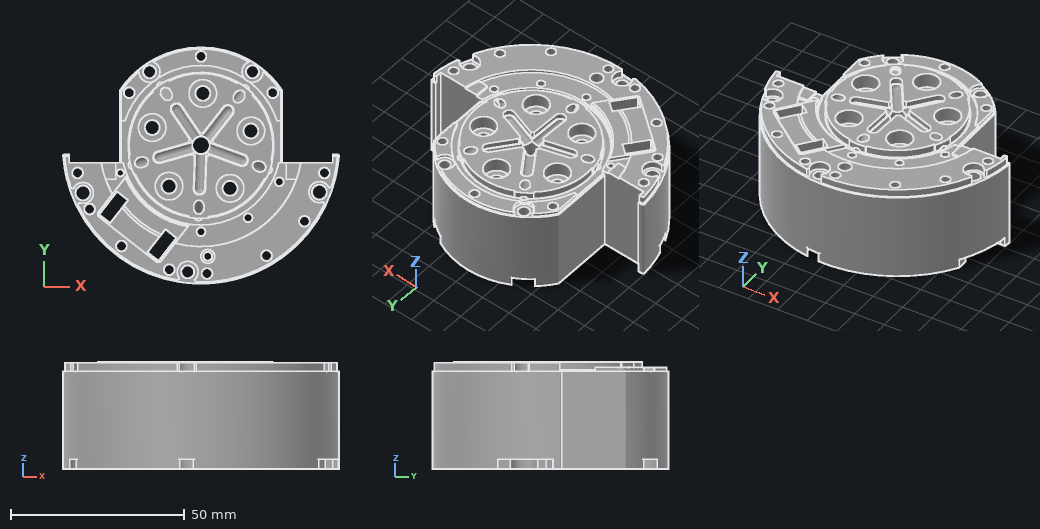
import cadquery as cq
import math

SHOULDER_Z = 28.2
CHANNEL_Z = 28.7
REAR_RIM_Z = 29.4
ANNULUS_Z = 29.65
TAB_Z = 30.2
PLATE_Z = 30.8
TOP_Z = 31.0

WIDTH = 79.7
REAR_R = 28.3
FLAT_X = 23.4
SHELF_Y = -5.0
HORN_Y = -2.6
HORN_INNER_X = 38.0
CORNER_R = 0.5
FRONT_R = math.hypot(WIDTH / 2, HORN_Y - CORNER_R)
RIM_INSET = 0.5

CHANNEL_R = 23.0
ANNULUS_R = 29.25
RIM_END_Y = 7.0
TAB_INNER_X = 24.55
TAB_END_Y = -9.8

HUB_R = 20.7
HUB_GAP_WIDTH = 0.3
HUB_GAP_DEPTH = 0.5
LOBE_R = 21.1
LOBE_WIDTH = 5.6
CENTRE_HOLE_D = 5.0
HUB_HOLE_COUNT = 5
HUB_PITCH = 360 / HUB_HOLE_COUNT
HUB_HOLE_R = 15.0
HUB_HOLE_START = 16
HUB_HOLE_D = 4.2
HUB_BORE_D = 8
HUB_BORE_DEPTH = 4.8
SPOKE_START = HUB_HOLE_START + HUB_PITCH / 2
SPOKE_END_R = 14.35
SPOKE_WIDTH = 3.5
SPOKE_WALL = 2.0
TROUGH_D = 3.0
HUB_RECESS_D = 7.3
PORT_R = 17.85
PORT_D = 3.0
PORT_TILT = 40
PORT_LENGTH = 4.8

FRONT_BOLT_R = 36.75
REAR_BOLT_R = 25.9
FRONT_RIM_R = FRONT_R - RIM_INSET
REAR_RIM_R = REAR_R - RIM_INSET
MOUNT_BOLTS = [
    (FRONT_BOLT_R, 202, 4.2, 8, FRONT_RIM_R),
    (FRONT_BOLT_R, 264, 3.7, 7.5, FRONT_RIM_R),
    (FRONT_BOLT_R, 338.4, 4.2, 8, FRONT_RIM_R),
    (REAR_BOLT_R, 55, 3.7, 8, REAR_RIM_R),
    (REAR_BOLT_R, 125, 3.7, 8, REAR_RIM_R),
]
UPPER_SEAT_D = 6.05
LOWER_SEAT_DEPTH = 2.9
NECK_WIDTH = 4.15
MOUTH_WIDTH = 5.6
FLARE_LENGTH = 0.7

COVER_HOLE_D = 3.0
COVER_HOLE_R = 37.1
COVER_HOLE_ANGLES = [209.8, 231.7, 255.7, 272.7, 300.7, 323.7]
END_HOLE_X = 35.6
END_HOLE_Y = -8
REAR_HOLE_R = 25.7
REAR_HOLE_ANGLES = [36.2, 90, 143.8]
RING_HOLE_D = 2.5
RING_HOLE_R = 24.95
RING_HOLE_ANGLES = [270, 303, 335]
PIN_HOLE_D = 2.0
PIN_HOLE_POINT = (-23.3, -8)
SCREW_R = 32.1
SCREW_ANGLE = 273.5
SCREW_D = 2.5
SCREW_SEAT_D = 4
SCREW_SEAT_DEPTH = 4.8

PAD_ANGLE = 232
PAD_OUTER = 34.4
PAD_WIDTH = 22.95
PAD_CORNER_R = 0.95
PAD_INNER_R = 23.3
PAD_BEVEL = 0.5
WINDOW_LENGTH = 8.4
WINDOW_WIDTH = 4
WINDOW_R = 29.65
WINDOW_OFFSET = 8.85
PAD_GROOVE_INNER_R = 28.2
PAD_GROOVE_WIDTH = 0.8
PAD_GROOVE_DEPTH = 0.1

UNDERCUT_INNER_X = 34.0
UNDERCUT_CORNER_X = 35.9
UNDERCUT_BEVEL_Y = -7.1
UNDERCUT_REAR_Y = -5.2
UNDERCUT_FRONT_Y = -23.9


def polar(radius, angle):
    turn = math.radians(angle)
    return radius * math.cos(turn), radius * math.sin(turn)


def disc(radius, bottom, top, point=(0, 0)):
    return cq.Workplane("XY", origin=(*point, bottom)).circle(radius).extrude(top - bottom)


def block(x_range, y_range, z_range):
    spans = [high - low for low, high in (x_range, y_range, z_range)]
    return cq.Workplane("XY").box(*spans, centered=False).translate((x_range[0], y_range[0], z_range[0]))


def turned(shape, angle):
    return shape.rotate((0, 0, 0), (0, 0, 1), angle)


def rear_prism(inset, top):
    """Rear disc with its two flats, from the base up."""
    half_width = FLAT_X - inset
    slab = block((-half_width, half_width), (SHELF_Y - CHANNEL_R, REAR_R), (0, top))
    prism = disc(REAR_R - inset, 0, top).intersect(slab)
    corner_y = math.sqrt((REAR_R - inset) ** 2 - half_width**2)
    corner_zone = cq.selectors.BoxSelector((-REAR_R, corner_y - 0.8, 0), (REAR_R, corner_y + 0.8, top))
    return prism.edges("|Z").edges(corner_zone).fillet(CORNER_R)


def front_prism(inset, top):
    """Front half disc with a small horn at each end, from the base up."""
    radius = FRONT_R - inset
    horn_y = HORN_Y - inset
    horn_x = math.sqrt(radius**2 - horn_y**2)
    return (
        cq.Workplane("XY")
        .moveTo(-horn_x, horn_y)
        .threePointArc((0, -radius), (horn_x, horn_y))
        .lineTo(HORN_INNER_X, horn_y)
        .lineTo(HORN_INNER_X, SHELF_Y)
        .lineTo(-HORN_INNER_X, SHELF_Y)
        .lineTo(-HORN_INNER_X, horn_y)
        .close()
        .extrude(top)
        .edges("|Z and >Y and (<X or >X)")
        .fillet(CORNER_R)
    )


def housing():
    body = front_prism(0, SHOULDER_Z).union(rear_prism(0, SHOULDER_Z))

    body = body.union(rear_prism(RIM_INSET, CHANNEL_Z)).union(disc(CHANNEL_R, 0, CHANNEL_Z))

    body = body.cut(disc(HUB_R + HUB_GAP_WIDTH, CHANNEL_Z - HUB_GAP_DEPTH, CHANNEL_Z))

    rear_rim = rear_prism(RIM_INSET, REAR_RIM_Z).cut(disc(CHANNEL_R, 0, REAR_RIM_Z))
    behind_rim_end = block((-REAR_R, REAR_R), (RIM_END_Y, REAR_R), (0, REAR_RIM_Z))
    body = body.union(rear_rim.intersect(behind_rim_end))

    plate = front_prism(RIM_INSET, PLATE_Z)
    body = body.union(plate.cut(disc(ANNULUS_R, 0, PLATE_Z)))
    body = body.union(front_prism(RIM_INSET, ANNULUS_Z).cut(disc(CHANNEL_R, 0, ANNULUS_Z)))

    tabs = block((TAB_INNER_X, ANNULUS_R), (TAB_END_Y, SHELF_Y), (0, TAB_Z))
    tabs = tabs.union(tabs.mirror("YZ"))
    return body.union(tabs)


def hub():
    """Round hub with a slightly proud lobe beyond each port."""
    body = disc(HUB_R, 0, TOP_Z)
    lobe_disc = disc(LOBE_R, CHANNEL_Z - HUB_GAP_DEPTH, TOP_Z)
    strip = block((0, LOBE_R), (-LOBE_WIDTH / 2, LOBE_WIDTH / 2), (0, TOP_Z))
    for index in range(HUB_HOLE_COUNT):
        body = body.union(lobe_disc.intersect(turned(strip, SPOKE_START + index * HUB_PITCH)))
    return body


def reader_pad():
    half = PAD_WIDTH / 2
    pad = block((0, PAD_OUTER), (-half, half), (0, TOP_Z)).edges("|Z and >X").fillet(PAD_CORNER_R)
    pad = pad.cut(disc(PAD_INNER_R, 0, TOP_Z))
    bevel = cq.Workplane("XY", origin=(0, 0, TOP_Z)).circle(PAD_INNER_R + PAD_BEVEL)
    pad = pad.cut(bevel.extrude(-PAD_BEVEL, taper=45))
    groove_bottom = TOP_Z - PAD_GROOVE_DEPTH
    groove = disc(PAD_GROOVE_INNER_R + PAD_GROOVE_WIDTH, groove_bottom, TOP_Z)
    groove = groove.cut(disc(PAD_GROOVE_INNER_R, groove_bottom, TOP_Z))
    between_windows = block((0, PAD_OUTER), (-WINDOW_OFFSET, WINDOW_OFFSET), (0, TOP_Z))
    return turned(pad.cut(groove.intersect(between_windows)), PAD_ANGLE)


def windows():
    cuts = (
        cq.Workplane("XY")
        .pushPoints([(WINDOW_R, -WINDOW_OFFSET), (WINDOW_R, WINDOW_OFFSET)])
        .rect(WINDOW_LENGTH, WINDOW_WIDTH)
        .extrude(TOP_Z)
    )
    return turned(cuts, PAD_ANGLE)


def spoke(angle):
    """Straight-walled slot from the centre hole outwards, with a narrower round trough in its floor."""
    end_centre = SPOKE_END_R - SPOKE_WIDTH / 2
    floor_z = TOP_Z - SPOKE_WALL
    slot = block((0, end_centre), (-SPOKE_WIDTH / 2, SPOKE_WIDTH / 2), (floor_z, TOP_Z))
    slot = slot.union(disc(SPOKE_WIDTH / 2, floor_z, TOP_Z, (end_centre, 0)))
    trough = cq.Workplane("YZ", origin=(0, 0, floor_z)).circle(TROUGH_D / 2).extrude(end_centre)
    trough_end = cq.Workplane("XY").sphere(TROUGH_D / 2).translate((end_centre, 0, floor_z))
    return turned(slot.union(trough).union(trough_end), angle)


def port(angle):
    """Slanted hole in the hub face whose lower end leans away from the axis."""
    drill = cq.Workplane("XY").circle(PORT_D / 2).extrude(2 * PORT_LENGTH)
    drill = drill.translate((0, 0, -PORT_LENGTH)).rotate((0, 0, 0), (0, 1, 0), -PORT_TILT)
    return turned(drill.translate((PORT_R, 0, TOP_Z)), angle)


def cut_hub_face(body):
    body = body.cut(disc(CENTRE_HOLE_D / 2, 0, TOP_Z))
    body = body.cut(disc(HUB_RECESS_D / 2, TOP_Z - SPOKE_WALL, TOP_Z))
    for index in range(HUB_HOLE_COUNT):
        hole_point = polar(HUB_HOLE_R, HUB_HOLE_START + index * HUB_PITCH)
        spoke_angle = SPOKE_START + index * HUB_PITCH
        body = body.cut(disc(HUB_HOLE_D / 2, 0, TOP_Z, hole_point))
        body = body.cut(disc(HUB_BORE_D / 2, TOP_Z - HUB_BORE_DEPTH, TOP_Z, hole_point))
        body = body.cut(spoke(spoke_angle)).cut(port(spoke_angle))
    return body


def mount_bolt(bolt_r, angle, hole_d, lower_seat_d, rim_r):
    """Through hole with a seat at each end; the upper seat opens through the rim."""
    point = (bolt_r, 0)
    cutter = disc(hole_d / 2, 0, TOP_Z, point)
    cutter = cutter.union(disc(lower_seat_d / 2, 0, LOWER_SEAT_DEPTH, point))
    cutter = cutter.union(disc(UPPER_SEAT_D / 2, SHOULDER_Z, TOP_Z, point))
    flare_start = rim_r - FLARE_LENGTH
    mouth = (
        cq.Workplane("XY", origin=(0, 0, SHOULDER_Z))
        .moveTo(bolt_r, -NECK_WIDTH / 2)
        .lineTo(flare_start, -NECK_WIDTH / 2)
        .lineTo(rim_r, -MOUTH_WIDTH / 2)
        .lineTo(rim_r, MOUTH_WIDTH / 2)
        .lineTo(flare_start, NECK_WIDTH / 2)
        .lineTo(bolt_r, NECK_WIDTH / 2)
        .close()
        .extrude(TOP_Z - SHOULDER_Z)
    )
    return turned(cutter.union(mouth), angle)


def cut_mounting(body):
    for bolt in MOUNT_BOLTS:
        body = body.cut(mount_bolt(*bolt))
    return body


def cut_plain_holes(body):
    cover_points = [polar(COVER_HOLE_R, angle) for angle in COVER_HOLE_ANGLES]
    cover_points += [polar(REAR_HOLE_R, angle) for angle in REAR_HOLE_ANGLES]
    cover_points += [(-END_HOLE_X, END_HOLE_Y), (END_HOLE_X, END_HOLE_Y)]
    ring_points = [polar(RING_HOLE_R, angle) for angle in RING_HOLE_ANGLES]
    screw_point = polar(SCREW_R, SCREW_ANGLE)
    hole_groups = [
        (COVER_HOLE_D, cover_points),
        (RING_HOLE_D, ring_points),
        (PIN_HOLE_D, [PIN_HOLE_POINT]),
        (SCREW_D, [screw_point]),
    ]
    for diameter, points in hole_groups:
        for point in points:
            body = body.cut(disc(diameter / 2, 0, TOP_Z, point))
    return body.cut(disc(SCREW_SEAT_D / 2, PLATE_Z - SCREW_SEAT_DEPTH, TOP_Z, screw_point))


def undercut():
    return (
        cq.Workplane("XY")
        .moveTo(UNDERCUT_INNER_X, UNDERCUT_FRONT_Y)
        .lineTo(UNDERCUT_INNER_X, UNDERCUT_BEVEL_Y)
        .lineTo(UNDERCUT_CORNER_X, UNDERCUT_REAR_Y)
        .lineTo(FRONT_R, UNDERCUT_REAR_Y)
        .lineTo(FRONT_R, UNDERCUT_FRONT_Y)
        .close()
        .extrude(LOWER_SEAT_DEPTH)
    )


result = housing().union(hub()).union(reader_pad())
result = cut_hub_face(result.cut(windows()))
result = cut_plain_holes(cut_mounting(result))
result = result.cut(undercut())